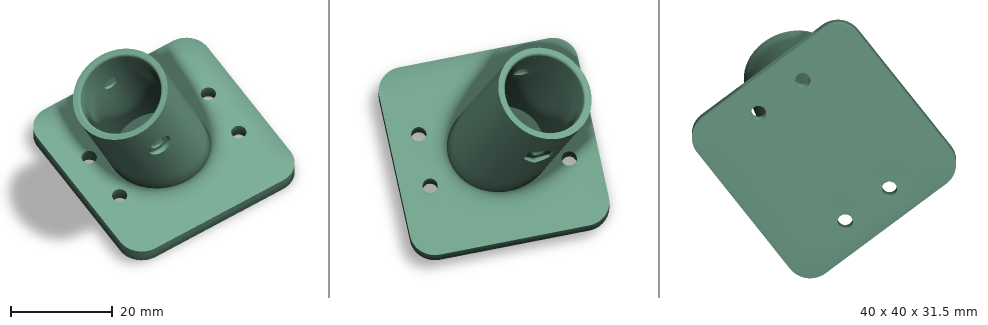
import cadquery as cq

plate_side = 40
plate_thickness = 3.0
corner_radius = 5.0
mount_hole_diameter = 3.0
mount_spacing_x = 11.0
mount_spacing_y = 28

tilt_angle = 20
tube_length = 30
tube_diameter = 19.5
bore_diameter = 16.5
mouth_rounding = 0.5

screw_distance = 21.0
screw_diameter = 3.0
nut_across_corners = 6.35
head_diameter = 5.0
seat_depth = 1.0


def lean(shape):
    """Tilt an upright shape about the X axis into the tube direction."""
    return shape.rotate((0, 0, 0), (1, 0, 0), tilt_angle)


def above_plate(shape):
    """Keep only the part of a shape above the plate's top face."""
    space_size = 2 * plate_side
    space = cq.Workplane("XY").workplane(offset=plate_thickness)
    return shape.intersect(space.rect(space_size, space_size).extrude(space_size))


def make_plate():
    plate = cq.Workplane("XY").rect(plate_side, plate_side).extrude(plate_thickness)
    plate = plate.edges("|Z").fillet(corner_radius)
    holes = plate.faces(">Z").workplane().rarray(mount_spacing_x, mount_spacing_y, 2, 2)
    return holes.hole(mount_hole_diameter)


def make_tube():
    start = -tube_diameter / 2
    base = cq.Workplane("XY").workplane(offset=start)
    tube = base.circle(tube_diameter / 2).circle(bore_diameter / 2).extrude(tube_length - start)
    rim = tube.faces(">Z")
    return rim.edges(cq.selectors.RadiusNthSelector(0)).fillet(mouth_rounding)


def cut_screw_and_seats(tube):
    side = cq.Workplane("YZ").center(0, screw_distance)
    screw = side.circle(screw_diameter / 2).extrude(tube_diameter, both=True)
    seat_floor = tube_diameter / 2 - seat_depth
    nut = side.workplane(offset=-seat_floor).transformed(rotate=(0, 0, 90))
    nut = nut.polygon(6, nut_across_corners).extrude(-tube_diameter / 2)
    head = side.workplane(offset=seat_floor).circle(head_diameter / 2).extrude(tube_diameter / 2)
    return tube.cut(screw).cut(nut).cut(head)


tube = cut_screw_and_seats(make_tube())
result = make_plate().union(above_plate(lean(tube)))